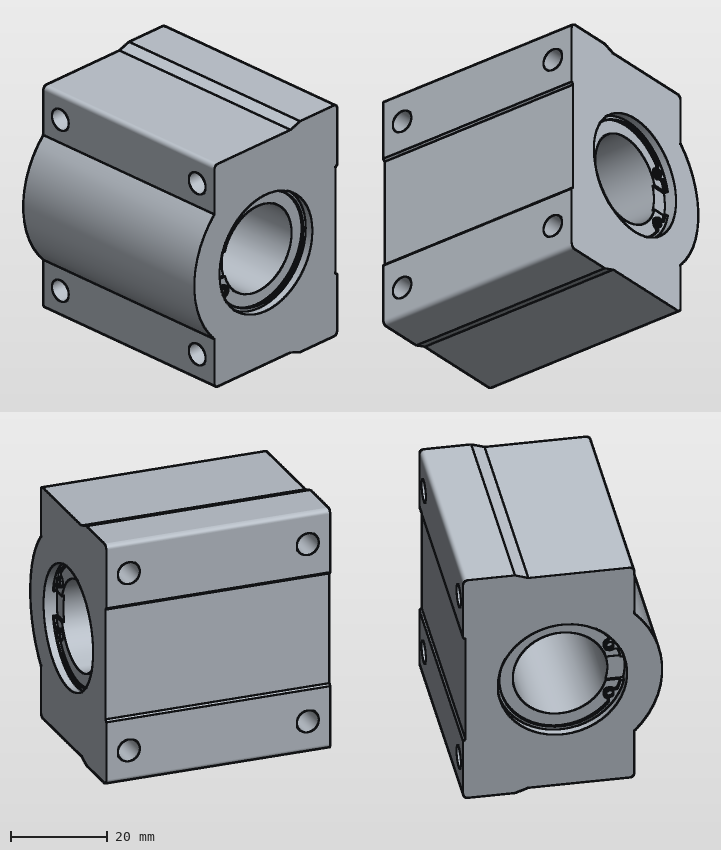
import cadquery as cq
import math

length = 50.0
half_height = 27.0
barrel_radius = 21.0
back_y = 20.9
front_y = -15.1

step_depth = 0.95
step_start_y = 10.0
step_end_y = 7.2
corner_radius = 1.0
relief_depth = 0.5
relief_half_height = 12.85

hole_diameter = 4.9
hole_spacing = 39.95

seat_diameter = 27.2
bearing_bore = 20.0
bearing_recess = 2.5
slot_width = 5.85
slot_depth = 0.5

ring_recess = 1.95
ring_inner_diameter = 25.8
lug_diameter = 2.5
lug_fillet = 0.65
lug_hole_diameter = 1.6
lug_y = -10.3
lug_z = 6.0

half_length = length / 2
ring_thickness = bearing_recess - ring_recess


def cylinder_x(diameter, x_start, x_length, y=0, z=0):
    """Cylinder parallel to X, starting at x_start."""
    return (
        cq.Workplane("YZ", origin=(x_start, y, z))
        .circle(diameter / 2)
        .extrude(x_length)
    )


def front_space(height):
    """Box on the front side of the bearing axis, centred on Z = 0."""
    depth = 2 * barrel_radius
    return cq.Workplane("XY").box(length, depth, height).translate((0, -depth / 2, 0))


def make_block():
    """Stepped block with a shallow back relief and a round barrel at the front."""
    shoulder_z = half_height - step_depth
    relief_y = back_y - relief_depth
    upper = [
        (relief_y, relief_half_height - relief_depth),
        (back_y, relief_half_height),
        (back_y, half_height),
        (step_start_y, half_height),
        (step_end_y, shoulder_z),
        (front_y, shoulder_z),
    ]
    lower = [(y, -z) for y, z in reversed(upper)]
    block = (
        cq.Workplane("YZ", origin=(-half_length, 0, 0))
        .polyline(upper + lower)
        .close()
        .extrude(length)
    )
    outer_corners = [
        (y, side * z)
        for y, z in ((back_y, half_height), (front_y, shoulder_z))
        for side in (-1, 1)
    ]
    for y, z in outer_corners:
        corner_edge = cq.selectors.NearestToPointSelector((0, y, z))
        block = block.edges("|X").edges(corner_edge).fillet(corner_radius)
    barrel = cylinder_x(2 * barrel_radius, -half_length, length).intersect(front_space(2 * barrel_radius))
    return block.union(barrel)


def cut_mounting_holes(body):
    """Four plain holes through the block along Y."""
    holes = (
        cq.Workplane("XZ", origin=(0, back_y, 0))
        .rect(hole_spacing, hole_spacing, forConstruction=True)
        .vertices()
        .circle(hole_diameter / 2)
        .extrude(2 * back_y)
    )
    return body.cut(holes)


def make_retaining_ring():
    """Open ring with two drilled lugs, at the -X end of the bearing."""
    x_start = -half_length + ring_recess
    ring = cylinder_x(seat_diameter, x_start, ring_thickness)
    ring = ring.cut(cylinder_x(ring_inner_diameter, x_start, ring_thickness))
    lug_distance = math.hypot(lug_y, lug_z)
    ring_inner_radius = ring_inner_diameter / 2
    for side in (-1, 1):
        lug_angle = math.atan2(side * lug_z, lug_y)
        lug = cylinder_x(lug_diameter, x_start, ring_thickness, lug_y, side * lug_z)
        web = (
            cq.Workplane("XY")
            .box(ring_thickness, seat_diameter / 2 - lug_distance, lug_diameter, centered=(False, False, True))
            .translate((0, lug_distance, 0))
            .rotate((0, 0, 0), (1, 0, 0), math.degrees(lug_angle))
            .translate((x_start, 0, 0))
        )
        ring = ring.union(lug.union(web))
        half_web_angle = math.asin(lug_diameter / 2 / ring_inner_radius)
        for angle in (lug_angle - half_web_angle, lug_angle + half_web_angle):
            corner = (
                x_start + ring_thickness / 2,
                ring_inner_radius * math.cos(angle),
                ring_inner_radius * math.sin(angle),
            )
            corner_edge = cq.selectors.NearestToPointSelector(corner)
            ring = ring.edges("|X").edges(corner_edge).fillet(lug_fillet)
    ring = ring.intersect(cylinder_x(seat_diameter, x_start, ring_thickness))
    ring = ring.cut(front_space(slot_width))
    for side in (-1, 1):
        ring = ring.cut(cylinder_x(lug_hole_diameter, x_start, ring_thickness, lug_y, side * lug_z))
    return ring


def cut_bearing_end(body):
    """Recess and end slot of the bearing at the -X end."""
    body = body.cut(cylinder_x(seat_diameter, -half_length, bearing_recess))
    seat = cylinder_x(seat_diameter, -half_length, bearing_recess + slot_depth)
    return body.cut(front_space(slot_width).intersect(seat))


body = cut_mounting_holes(make_block())
body = cut_bearing_end(body).union(make_retaining_ring())
near_space = (
    cq.Workplane("XY")
    .box(half_length, 2 * length, 2 * length)
    .translate((-half_length / 2, 0, 0))
)
near_half = body.intersect(near_space)
body = near_half.union(near_half.mirror("YZ"))
result = body.cut(cylinder_x(bearing_bore, -half_length, length))